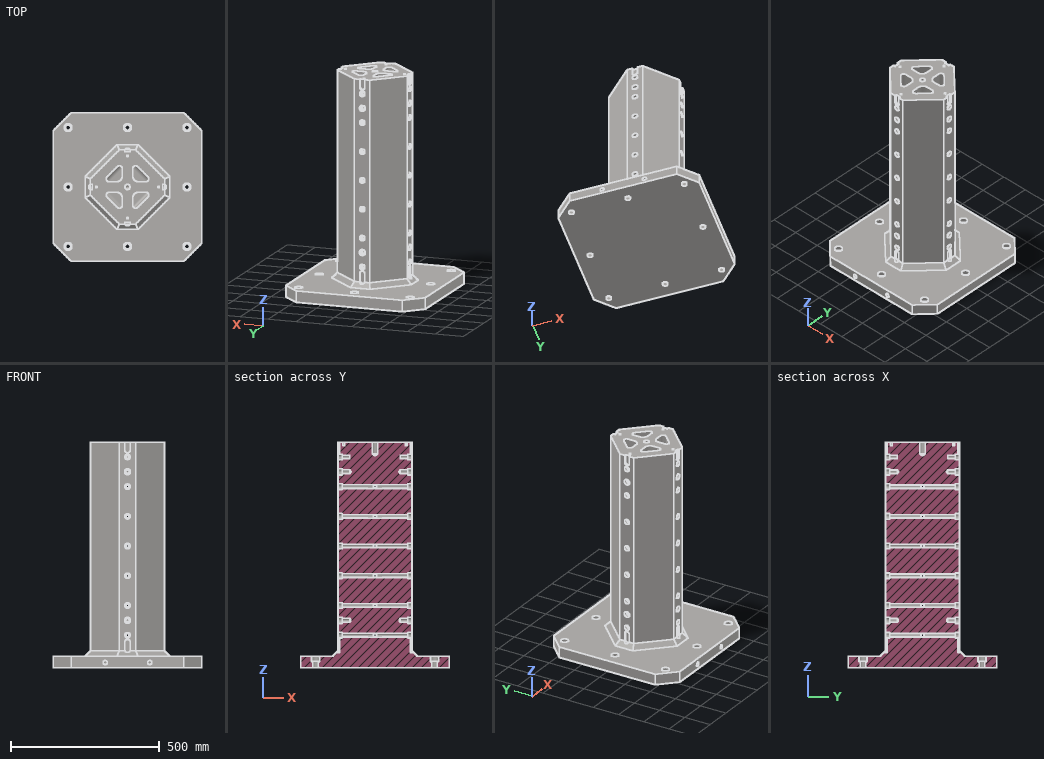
import cadquery as cq
import math

PLATE_SIZE = 500.0
PLATE_THICKNESS = 40.0
PLATE_CORNER_CUT = 60.0
MOUNT_SPACING = 200.0
MOUNT_DIAMETER = 18.0
MOUNT_COUNTERBORE_DIAMETER = 26.0
MOUNT_COUNTERBORE_DEPTH = 18.0
EDGE_HOLE_SPACING = 150.0
EDGE_HOLE_DIAMETER = 14.0
EDGE_HOLE_HEIGHT = 18.0
EDGE_HOLE_DEPTH = 40.0

TOTAL_HEIGHT = 760.0
COLUMN_WIDTH = 250.0
COLUMN_FACE_WIDTH = 55.0
FLARE = 18.0
FLARE_ANGLE = 45.0

FACE_HOLE_DIAMETER = 10.8
FACE_COUNTERBORE_DIAMETER = 18.0
FACE_COUNTERBORE_DEPTH = 14.0
THROUGH_HEIGHTS = (110.0, 210.0, 310.0, 410.0, 510.0, 610.0)
FLAT_BLIND_HEIGHT = 710.0
POINTED_HEIGHTS = (160.0, 660.0)
POINTED_HOLE_DIAMETER = 12.0
POINTED_COUNTERBORE_DIAMETER = 20.0
BLIND_DEPTH = 40.0

KEYWAY_WIDTH = 18.0
KEYWAY_DEPTH = 6.0
TOP_KEYWAY_LENGTH = 36.0
LOWER_KEYWAY_BOTTOM = 52.0
LOWER_KEYWAY_LENGTH = 44.0

CENTER_HOLE_DIAMETER = 17.5
CENTER_HOLE_DEPTH = 40.0
PIN_DIAMETER = 5.0
PIN_RADIUS = 105.0
PIN_DEPTH = 12.0
POCKET_RIB_WIDTH = 35.0
POCKET_REACH = 103.0
POCKET_INNER_RADIUS = 20.0
POCKET_OUTER_RADIUS = 10.0
POCKET_FLOOR_RADIUS = 16.0
POCKET_FLOOR_HEIGHT = PLATE_THICKNESS

DRILL_POINT_ANGLE = 118.0
QUARTER_TURNS = (0, 90, 180, 270)


def cut_square(width, corner_cut, height):
    """A square block on Z = 0 with its vertical corners cut at 45 degrees."""
    return (
        cq.Workplane("XY")
        .rect(width, width)
        .extrude(height)
        .edges("|Z")
        .chamfer(corner_cut)
    )


def drill(diameter, depth, start, direction, pointed=True):
    """A drilled hole, with a conical end below its full depth when pointed."""
    radius = diameter / 2
    hole = cq.Solid.makeCylinder(radius, depth, start, direction)
    if pointed:
        point_length = radius / math.tan(math.radians(DRILL_POINT_ANGLE / 2))
        tip_start = start + direction * depth
        hole = hole.fuse(cq.Solid.makeCone(radius, 0, point_length, tip_start, direction))
    return cq.Workplane(obj=hole)


def around_column(feature):
    """The feature repeated at the four quarter turns about Z."""
    pattern = feature
    for angle in QUARTER_TURNS[1:]:
        pattern = pattern.union(feature.rotate((0, 0, 0), (0, 0, 1), angle))
    return pattern


def column():
    """The column standing on the plate, with a flared foot."""
    corner_cut = (COLUMN_WIDTH - COLUMN_FACE_WIDTH) / 2
    shaft = cut_square(COLUMN_WIDTH, corner_cut, TOTAL_HEIGHT)
    foot_width = COLUMN_WIDTH + 2 * FLARE
    foot_corner_cut = corner_cut + (2 - math.sqrt(2)) * FLARE
    foot_outline = cut_square(foot_width, foot_corner_cut, FLARE).faces("<Z").wires().val()
    foot = cq.Workplane("XY").add(foot_outline).toPending().extrude(FLARE, taper=FLARE_ANGLE)
    return shaft.union(foot.translate((0, 0, PLATE_THICKNESS)))


def mount_holes():
    """Counterbored holes at the corners and side middles of the plate."""
    places = [
        (column_index * MOUNT_SPACING, row_index * MOUNT_SPACING)
        for column_index in (-1, 0, 1)
        for row_index in (-1, 0, 1)
        if (column_index, row_index) != (0, 0)
    ]
    bores = cq.Workplane("XY").pushPoints(places).circle(MOUNT_DIAMETER / 2).extrude(PLATE_THICKNESS)
    counterbores = (
        cq.Workplane("XY", origin=(0, 0, PLATE_THICKNESS))
        .pushPoints(places)
        .circle(MOUNT_COUNTERBORE_DIAMETER / 2)
        .extrude(-MOUNT_COUNTERBORE_DEPTH)
    )
    return bores.union(counterbores)


def edge_holes():
    """Two blind holes in the front edge of the plate."""
    holes = cq.Workplane("XY")
    for side in (-1, 1):
        start = cq.Vector(side * EDGE_HOLE_SPACING / 2, -PLATE_SIZE / 2, EDGE_HOLE_HEIGHT)
        holes = holes.add(drill(EDGE_HOLE_DIAMETER, EDGE_HOLE_DEPTH, start, cq.Vector(0, 1, 0)))
    return holes.combine()


def face_holes():
    """The column of counterbored holes in the front narrow face."""
    inward = cq.Vector(0, 1, 0)
    holes = cq.Workplane("XY")

    def add_hole(height, diameter, depth, counterbore_diameter, pointed):
        start = cq.Vector(0, -COLUMN_WIDTH / 2, height)
        holes.add(drill(diameter, depth, start, inward, pointed))
        holes.add(drill(counterbore_diameter, FACE_COUNTERBORE_DEPTH, start, inward, False))

    for height in THROUGH_HEIGHTS:
        add_hole(height, FACE_HOLE_DIAMETER, COLUMN_WIDTH / 2, FACE_COUNTERBORE_DIAMETER, False)
    add_hole(FLAT_BLIND_HEIGHT, FACE_HOLE_DIAMETER, BLIND_DEPTH, FACE_COUNTERBORE_DIAMETER, False)
    for height in POINTED_HEIGHTS:
        add_hole(height, POINTED_HOLE_DIAMETER, BLIND_DEPTH, POINTED_COUNTERBORE_DIAMETER, True)
    return holes.combine()


def keyway(bottom, length):
    """A round-ended upright slot in the front narrow face, open outward."""
    floor_y = KEYWAY_DEPTH - COLUMN_WIDTH / 2
    return (
        cq.Workplane("XZ", origin=(0, floor_y, bottom + length / 2))
        .slot2D(length, KEYWAY_WIDTH, 90)
        .extrude(KEYWAY_DEPTH + FLARE)
    )


def pocket():
    """A deep triangular pocket in one quarter, rounded along the foot of its outer wall."""
    near = POCKET_RIB_WIDTH / 2
    far = POCKET_REACH - near
    triangle = (
        cq.Workplane("XY", origin=(0, 0, POCKET_FLOOR_HEIGHT))
        .polyline([(near, near), (far, near), (near, far)])
        .close()
        .extrude(TOTAL_HEIGHT - POCKET_FLOOR_HEIGHT)
    )
    inner_corner = cq.selectors.NearestToPointSelector((near, near, TOTAL_HEIGHT / 2))
    rounded = triangle.edges("|Z").edges(inner_corner).fillet(POCKET_INNER_RADIUS)
    rounded = rounded.edges("|Z").edges(">X or >Y").fillet(POCKET_OUTER_RADIUS)
    outer_foot = cq.selectors.NearestToPointSelector((far / 2, far / 2, POCKET_FLOOR_HEIGHT))
    return rounded.intersect(triangle.edges("<Z").edges(outer_foot).fillet(POCKET_FLOOR_RADIUS))


def top_holes():
    """The central hole and the four small pin holes in the column top."""
    down = cq.Vector(0, 0, -1)
    center = drill(CENTER_HOLE_DIAMETER, CENTER_HOLE_DEPTH, cq.Vector(0, 0, TOTAL_HEIGHT), down)
    pin = drill(PIN_DIAMETER, PIN_DEPTH, cq.Vector(0, -PIN_RADIUS, TOTAL_HEIGHT), down, False)
    return center.union(around_column(pin))


top_keyway_bottom = TOTAL_HEIGHT - TOP_KEYWAY_LENGTH
top_keyway_cut_length = TOP_KEYWAY_LENGTH + KEYWAY_WIDTH
plate = cut_square(PLATE_SIZE, PLATE_CORNER_CUT, PLATE_THICKNESS)
result = (
    plate.union(column())
    .cut(mount_holes())
    .cut(edge_holes())
    .cut(around_column(face_holes()))
    .cut(around_column(keyway(LOWER_KEYWAY_BOTTOM, LOWER_KEYWAY_LENGTH)))
    .cut(around_column(keyway(top_keyway_bottom, top_keyway_cut_length)))
    .cut(around_column(pocket()))
    .cut(top_holes())
)